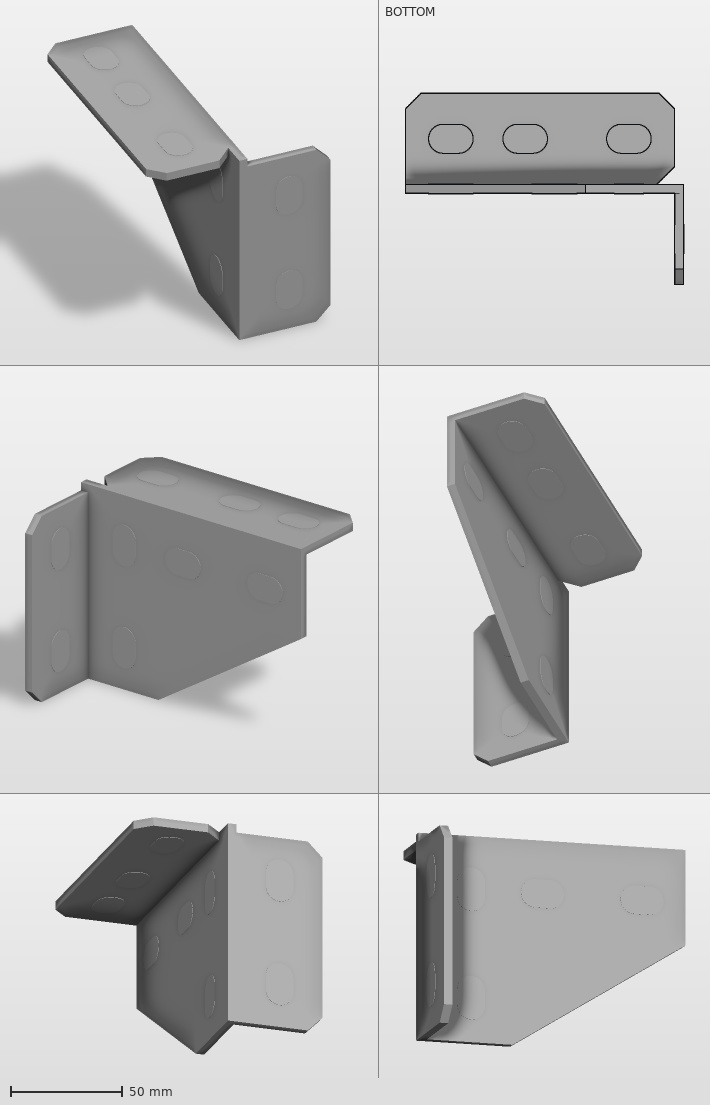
import cadquery as cq

overall_x = 125.2
overall_y = 86.0
overall_z = 95.2

plug_proud = 0.2
thickness = 4.0
plate_length = overall_x - plug_proud
plate_height = overall_z - plug_proud
flange_width = (overall_y + thickness) / 2
flange_reach = flange_width - thickness
corner_chamfer = 7.0
relief_chamfer = 8.0
short_edge = 44.0
slope_foot_x = 81.0

slot_length = 20.0
slot_width = 13.0
end_slot_x = 20.4
far_slot_x = 100.4
top_middle_slot_x = 53.8
plate_middle_slot_x = 67.0
slot_pitch_z = 50.0
slot_inset = flange_reach / 2
upper_slot_z = -thickness - slot_inset
lower_slot_z = upper_slot_z - slot_pitch_z

top_end_x = plate_length - thickness
side_top_z = -thickness


def back_plate():
    """Upright plate with its lower left corner cut off on a slope."""
    outline = [
        (0, 0),
        (plate_length, 0),
        (plate_length, -plate_height),
        (slope_foot_x, -plate_height),
        (0, -short_edge),
    ]
    return cq.Workplane("XZ").polyline(outline).close().extrude(-thickness)


def top_flange():
    """Forward flange with clipped front corners and a relief beside the bend."""
    outline = [
        (0, 0),
        (top_end_x - relief_chamfer, 0),
        (top_end_x, -relief_chamfer),
        (top_end_x, -flange_reach + corner_chamfer),
        (top_end_x - corner_chamfer, -flange_reach),
        (corner_chamfer, -flange_reach),
        (0, -flange_reach + corner_chamfer),
    ]
    return cq.Workplane("XY").polyline(outline).close().extrude(-thickness)


def side_flange():
    """Rearward flange at the right end with clipped rear corners."""
    end_y = flange_width
    outline = [
        (0, side_top_z),
        (end_y - corner_chamfer, side_top_z),
        (end_y, side_top_z - corner_chamfer),
        (end_y, -plate_height + corner_chamfer),
        (end_y - corner_chamfer, -plate_height),
        (0, -plate_height),
    ]
    flange = cq.Workplane("YZ").polyline(outline).close().extrude(thickness)
    return flange.translate((plate_length - thickness, 0, 0))


def plugs(plane, face_offset, centres, angle, depth):
    """Obround plugs, extruded from a plane parallel to the sheet."""
    return (
        cq.Workplane(plane)
        .workplane(offset=face_offset)
        .pushPoints(centres)
        .slot2D(slot_length, slot_width, angle)
        .extrude(depth)
    )


plug_depth = thickness + 2 * plug_proud
top_centres = [(x, -slot_inset) for x in (end_slot_x, top_middle_slot_x, far_slot_x)]
side_centres = [(thickness + slot_inset, z) for z in (upper_slot_z, lower_slot_z)]
plate_centres = [(x, upper_slot_z) for x in (end_slot_x, plate_middle_slot_x)]
upright_centres = [(far_slot_x, z) for z in (upper_slot_z, lower_slot_z)]

result = back_plate().union(top_flange()).union(side_flange())
result = result.union(plugs("XY", plug_proud, top_centres, 0, -plug_depth))
result = result.union(plugs("YZ", plate_length + plug_proud, side_centres, 90, -plug_depth))
result = result.union(plugs("XZ", plug_proud, plate_centres, 0, -plug_depth))
result = result.union(plugs("XZ", plug_proud, upright_centres, 90, -plug_depth))